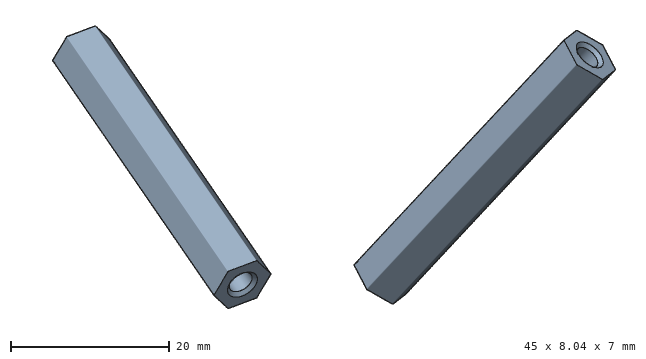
import cadquery as cq
import math

length = 45.0
across_flats = 7.0
edge_radius = 0.15

bore_diameter = 3.25
bore_depth = 10.0
mouth_diameter = 4.25
drill_tip_angle = 120.0
countersink_angle = 90.0


def cone_height(radius_change, included_angle):
    """Axial length of a cone whose radius changes by the given amount."""
    return radius_change / math.tan(math.radians(included_angle / 2))


def hex_bar():
    """Hexagonal bar with flats on top and bottom and slightly rounded long edges."""
    across_corners = across_flats / math.cos(math.radians(30))
    bar = cq.Workplane("YZ").polygon(6, across_corners).extrude(length)
    bar = bar.edges("|X").fillet(edge_radius)
    return bar.translate((-length / 2, 0, 0))


def bore_cutter():
    """Countersunk bore with a conical drill tip, entering from the -X end."""
    bore_radius = bore_diameter / 2
    mouth_radius = mouth_diameter / 2
    countersink_depth = cone_height(mouth_radius - bore_radius, countersink_angle)
    tip_depth = bore_depth + cone_height(bore_radius, drill_tip_angle)
    profile = [
        (0, 0),
        (0, mouth_radius),
        (countersink_depth, bore_radius),
        (bore_depth, bore_radius),
        (tip_depth, 0),
    ]
    cutter = cq.Workplane("XY").polyline(profile).close().revolve(360, (0, 0, 0), (1, 0, 0))
    return cutter.translate((-length / 2, 0, 0))


near_bore = bore_cutter()
far_bore = near_bore.mirror("YZ")
result = hex_bar().cut(near_bore).cut(far_bore)